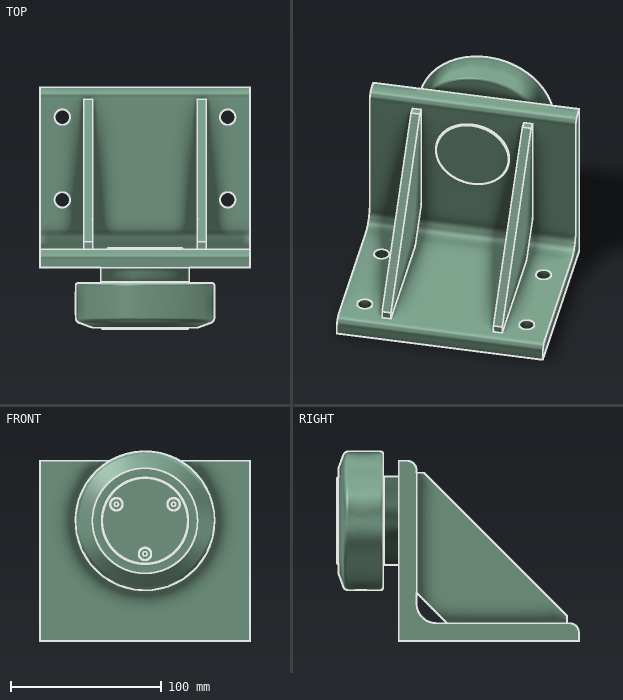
import cadquery as cq
import math

bracket_width = 140.0
leg_length = 120.0
leg_thickness = 12.0
inner_radius = 13.0
toe_radius = 6.5

rib_thickness = 6.0
rib_inner_face_x = 34.8
rib_leg = 100.0
rib_toe = 5.0
rib_corner_cut = 20.0

mount_hole_diameter = 10.11
mount_hole_x = 55.0
mount_hole_rows_y = (45.0, 100.0)

roller_axis_z = 80.0
roller_radius = 46.3
roller_crown = 0.05
roller_back_y = -10.2
roller_front_y = -40.1
roller_back_fillet = 2.0
roller_front_fillet = 4.0
roller_face_radius = 35.0
roller_cone_angle = 20.0
pin_collar_diameter = 59.0
pin_step_diameter = 57.8
pin_step_length = 0.7
pin_end_diameter = 50.0
pin_end_height = 1.0
pin_end_chamfer = 0.5

cap_diameter = 57.8
cap_height = 0.9
cap_chamfer = 0.5
screw_count = 3
screw_circle_radius = 22.0
screw_first_angle = -90.0
countersink_diameter = 8.6
screw_head_diameter = 7.8
socket_across_flats = 2.5
socket_depth = 2.0


def make_angle():
    """L-shaped bracket with a rounded inner corner and rounded toes."""
    profile = (
        cq.Workplane("YZ", origin=(-bracket_width / 2, 0, 0))
        .polyline([
            (0, 0),
            (leg_length, 0),
            (leg_length, leg_thickness),
            (leg_thickness, leg_thickness),
            (leg_thickness, leg_length),
            (0, leg_length),
        ])
        .close()
        .extrude(bracket_width)
    )
    inner_corner = cq.selectors.NearestToPointSelector((0, leg_thickness, leg_thickness))
    base_toe = cq.selectors.NearestToPointSelector((0, leg_length, leg_thickness))
    upright_toe = cq.selectors.NearestToPointSelector((0, leg_thickness, leg_length))
    return (
        profile
        .edges(inner_corner).fillet(inner_radius)
        .edges(base_toe).fillet(toe_radius)
        .edges(upright_toe).fillet(toe_radius)
    )


def make_rib(start_x):
    """Triangular rib whose lower corner is cut away to clear the inner radius."""
    foot = leg_thickness
    end = leg_thickness + rib_leg
    return (
        cq.Workplane("YZ", origin=(start_x, 0, 0))
        .polyline([
            (foot + rib_corner_cut, foot),
            (end, foot),
            (end, foot + rib_toe),
            (foot + rib_toe, end),
            (foot, end),
            (foot, foot + rib_corner_cut),
        ])
        .close()
        .extrude(rib_thickness)
    )


def cut_mount_holes(body):
    """Through holes in the base leg, outside the ribs."""
    centers = [(side * mount_hole_x, y) for side in (-1, 1) for y in mount_hole_rows_y]
    holes = (
        cq.Workplane("XY")
        .pushPoints(centers)
        .circle(mount_hole_diameter / 2)
        .extrude(leg_thickness)
    )
    return body.cut(holes)


def make_disc(diameter, start_y, end_y):
    """Cylinder on the roller axis between two Y positions."""
    return (
        cq.Workplane("XZ", origin=(0, start_y, roller_axis_z))
        .circle(diameter / 2)
        .extrude(start_y - end_y)
    )


def make_roller():
    """Slightly crowned roller with a rounded back edge and a conical front shoulder."""
    slope = math.radians(roller_cone_angle)
    shoulder_y = roller_front_y + (roller_radius - roller_face_radius) * math.tan(slope)
    half_turn = (math.pi / 2 - slope) / 2
    tangent_length = roller_front_fillet * math.tan(half_turn)
    tread_back_y = roller_back_y - roller_back_fillet
    tread_front_y = shoulder_y + tangent_length
    cone_start_radius = roller_radius - tangent_length * math.cos(slope)
    cone_start_y = shoulder_y - tangent_length * math.sin(slope)

    fillet_center_radius = roller_radius - roller_front_fillet
    fillet_mid = (
        fillet_center_radius + roller_front_fillet * math.cos(half_turn),
        tread_front_y - roller_front_fillet * math.sin(half_turn),
    )
    back_center_radius = roller_radius - roller_back_fillet
    back_mid = (
        back_center_radius + roller_back_fillet * math.sqrt(0.5),
        tread_back_y + roller_back_fillet * math.sqrt(0.5),
    )
    tread_mid = (roller_radius + roller_crown, (tread_back_y + tread_front_y) / 2)
    return (
        cq.Workplane("XY")
        .moveTo(0, roller_back_y)
        .lineTo(back_center_radius, roller_back_y)
        .threePointArc(back_mid, (roller_radius, tread_back_y))
        .threePointArc(tread_mid, (roller_radius, tread_front_y))
        .threePointArc(fillet_mid, (cone_start_radius, cone_start_y))
        .lineTo(roller_face_radius, roller_front_y)
        .lineTo(0, roller_front_y)
        .close()
        .revolve(360, (0, 0, 0), (0, 1, 0))
        .translate((0, 0, roller_axis_z))
    )


def make_pin():
    """Collar and step between upright and roller, and the pin end behind the upright."""
    step_y = roller_back_y + pin_step_length
    collar = make_disc(pin_collar_diameter, 0, step_y)
    step = make_disc(pin_step_diameter, step_y, roller_back_y)
    pin_end = make_disc(pin_end_diameter, leg_thickness + pin_end_height, leg_thickness)
    return collar.union(step).union(pin_end.faces(">Y").chamfer(pin_end_chamfer))


def make_cap():
    """Chamfered cap standing proud of the roller face."""
    cap = make_disc(cap_diameter, roller_front_y, roller_front_y - cap_height)
    return cap.faces("<Y").chamfer(cap_chamfer)


def cut_screws(body):
    """Countersink rims down to recessed screw heads, each with a hexagon socket."""
    cap_face_y = roller_front_y - cap_height
    rim_depth = (countersink_diameter - screw_head_diameter) / 2
    socket_diameter = socket_across_flats / math.cos(math.pi / 6)
    for index in range(screw_count):
        angle = math.radians(screw_first_angle + index * 360 / screw_count)
        x = screw_circle_radius * math.cos(angle)
        z = roller_axis_z + screw_circle_radius * math.sin(angle)
        countersink = cq.Workplane(cq.Solid.makeCone(
            countersink_diameter / 2,
            screw_head_diameter / 2,
            rim_depth,
            pnt=cq.Vector(x, cap_face_y, z),
            dir=cq.Vector(0, 1, 0),
        ))
        socket = (
            cq.Workplane("XZ", origin=(x, cap_face_y, z))
            .polygon(6, socket_diameter)
            .extrude(-rim_depth - socket_depth)
        )
        body = body.cut(countersink).cut(socket)
    return body


result = cut_mount_holes(make_angle())
for rib_start_x in (-rib_inner_face_x - rib_thickness, rib_inner_face_x):
    result = result.union(make_rib(rib_start_x))
result = result.union(make_pin()).union(make_roller()).union(make_cap())
result = cut_screws(result)